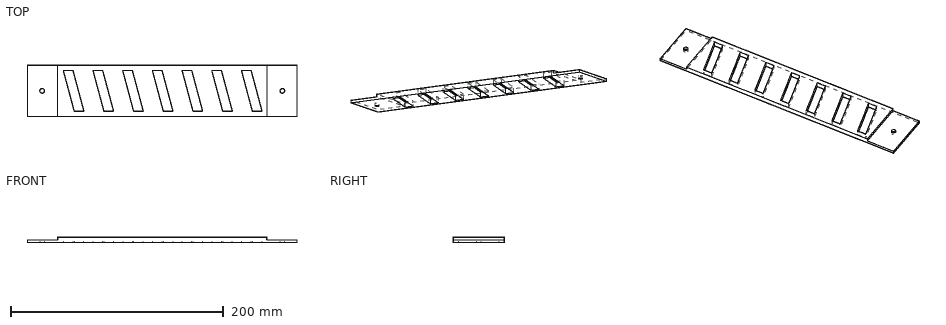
import cadquery as cq
import math

INCH = 25.4

length = 10 * INCH
width = 1.9 * INCH
thickness = 0.2 * INCH

tab_length = 1.125 * INCH
tab_thickness = thickness / 2
hole_diameter = 4.17
hole_end_distance = 0.55 * INCH

slot_count = 7
slot_pitch = 1.1 * INCH
slot_width = 0.35 * INCH
slot_slant = math.radians(15)
slot_edge_margin = 0.2 * INCH
slot_row_offset = 0.4


def make_stepped_plate():
    """Base plate with a raised middle section between the two tabs."""
    base = cq.Workplane("XY").box(length, width, tab_thickness, centered=(True, True, False))
    raised = cq.Workplane("XY").box(
        length - 2 * tab_length, width, thickness, centered=(True, True, False)
    )
    return base.union(raised)


def make_slot(center_x):
    """Parallelogram cutter whose ends are parallel to X."""
    half_height = width / 2 - slot_edge_margin
    half_span = slot_width / 2
    lean = half_height * math.tan(slot_slant)
    corners = [
        (center_x - lean - half_span, half_height),
        (center_x - lean + half_span, half_height),
        (center_x + lean + half_span, -half_height),
        (center_x + lean - half_span, -half_height),
    ]
    return cq.Workplane("XY").polyline(corners).close().extrude(thickness)


def cut_slots(plate):
    """Cut the evenly pitched slots, the row shifted slightly toward +X."""
    first_x = slot_row_offset - slot_pitch * (slot_count - 1) / 2
    for index in range(slot_count):
        plate = plate.cut(make_slot(first_x + index * slot_pitch))
    return plate


def cut_mounting_holes(plate):
    """Drill one through hole in each tab, on the long centreline."""
    hole_x = length / 2 - hole_end_distance
    holes = (
        cq.Workplane("XY")
        .pushPoints([(-hole_x, 0), (hole_x, 0)])
        .circle(hole_diameter / 2)
        .extrude(thickness)
    )
    return plate.cut(holes)


result = cut_mounting_holes(cut_slots(make_stepped_plate()))